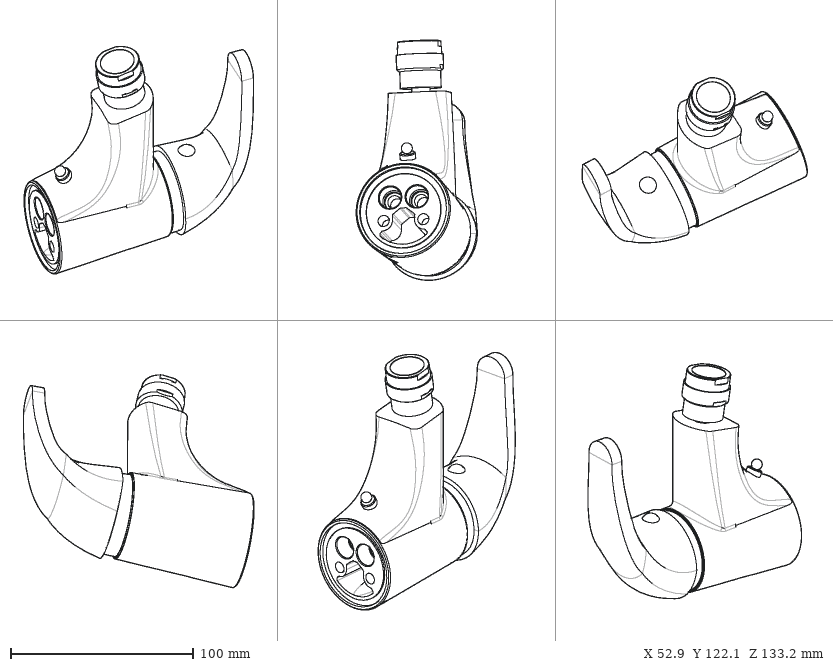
import cadquery as cq
import math


front_radius = 26.45
rear_radius = 24.2
body_length = 67.6
rear_centre_z = front_radius - rear_radius
rim_chamfer = 0.7
seam_turn = 180

ring_outer_radius = 24.3
ring_floor_depth = 2.2
disc_radius = 20.9
disc_depth = 1.2

inlet_x = 7.5
inlet_z = 7.7
inlet_steps = [(6.1, 10.0), (5.2, 12.0), (3.7, 20.0)]
inlet_chamfer = 0.5
screw_x = 11.1
screw_z = -5.3
screw_radius = 3.1
screw_depth = 12.0

pocket_depth = 25.0
pocket_bottom_radius = 18.9
pocket_floor_flat_z = -17.2
pocket_corner_radius = 1.2

groove_width = 0.7
groove_radius = 23.6
collar_radius = 23.0
collar_end_radius = 22.0
collar_end_y = 80.0

neck_foot_z = 13.0
neck_foot_y = 1.2
neck_foot_rise = 0.15
neck_tilt = 9.8
neck_rear_y = 64.5
neck_front_y = 34.7
neck_rear_top_z = 79.3
neck_curve_top_z = 70.5
neck_curve_radius = 45.0
neck_rear_radius = 20.5
neck_top_half_width = 15.8
neck_side_draft = 3.5
neck_front_crowns = [(12, 55.0), (24, 31.0), (40, 23.0), (60, 23.5)]
saddle_half_width = 20.0
saddle_height = 15.0
saddle_clearance = 2.0
neck_split_y = 42.0
neck_front_stock = 5.0
neck_front_fillet = 4.5
neck_rear_fillet = 5.0
neck_base_fillet = 3.0

stem_radius = 5.1
stem_height = 2.8
sleeve_radius = 11.3
sleeve_height = 9.2
connector_chamfer = 1.2
ring_radius = 13.0
ring_height = 8.0
cap_radius = 12.2
cap_height = 7.3
cap_edge_chamfer = 0.4
seal_radius = 9.4
seal_recess = 0.3
flat_width = 9.8
flat_height = 3.2

stud_y = 13.5
stud_z = 32.4
stud_tilt = 30.0
stud_base_radius = 4.3
stud_base_height = 3.0
stud_ball_radius = 3.0
stud_ball_height = 5.5

lever_tip_radius = 10.0
lever_tip_z = 75.7
lever_tip_inner_y = 114.7
lever_tip_thickness = 7.0
lever_front_y = 74.6
lever_front_lean = 4.3
button_y = 86.0
button_radius = 4.6
button_height = 2.6
lever_top_z = 27.8

cap_sections = [
    ((lever_front_y, lever_top_z), (lever_front_y, -23.2), (0.50, 26.0), (0.84, 19.0), 1.6),
    ((89.7, lever_top_z), (95.4, -13.9), (0.49, 22.9), (0.80, 18.5), 1.2),
    ((104.6, lever_top_z), (106.8, -0.9), (0.20, 19.4), (0.72, 17.5), 0.6),
]
blade_sections = [
    cap_sections[-1],
    ((107.4, 38.3), (117.1, 25.2), (0.30, 16.2), (0.90, 16.0), 0.0),
    ((110.6, 49.6), (120.6, 44.3), (0.21, 13.3), (0.92, 13.3), 0.0),
    ((113.6, 66.1), (122.05, 63.5), (0.10, 10.6), (0.93, 10.6), 0.0),
    (
        (lever_tip_inner_y, lever_tip_z),
        (lever_tip_inner_y + lever_tip_thickness, lever_tip_z),
        (0.0, lever_tip_radius),
        (1.0, lever_tip_radius),
        0.0,
    ),
]


def disc_wire(radius, y, z):
    """Circle about the Y direction, with its seam turned to the side."""
    circle = cq.Wire.makeCircle(radius, cq.Vector(0, y, z), cq.Vector(0, 1, 0))
    return circle.rotate(cq.Vector(0, 0, z), cq.Vector(0, 1, z), seam_turn)


def cylinder_y(radius, y_start, y_end, x=0.0, z=0.0):
    return cq.Workplane(
        cq.Solid.makeCylinder(radius, y_end - y_start, cq.Vector(x, y_start, z), cq.Vector(0, 1, 0))
    )


def make_body():
    front = disc_wire(front_radius, 0, 0)
    rear = disc_wire(rear_radius, body_length, rear_centre_z)
    body = cq.Workplane(cq.Solid.makeLoft([front, rear], True))
    return body.faces("<Y").edges().chamfer(rim_chamfer)


def make_collar():
    """Groove and slightly crowned collar, turned about the rear axis of the body."""
    collar_start_y = body_length + groove_width
    middle_y = (collar_start_y + collar_end_y) / 2
    middle_radius = (collar_radius + collar_end_radius) / 2 + 0.2
    return (
        cq.Workplane("XY")
        .moveTo(0, body_length - 1)
        .lineTo(groove_radius, body_length - 1)
        .lineTo(groove_radius, collar_start_y)
        .lineTo(collar_radius, collar_start_y)
        .threePointArc((middle_radius, middle_y), (collar_end_radius, collar_end_y))
        .lineTo(0, collar_end_y)
        .close()
        .revolve(360, (0, 0, 0), (0, 1, 0))
        .translate((0, 0, rear_centre_z))
    )


def make_neck_front():
    """Saddle that hollows the neck front: flat at the top, round as the body at the foot."""
    arc_centre_y = neck_front_y - neck_curve_radius
    wires = [
        saddle_wire(cq.Vector(0, neck_front_y, z), cq.Vector(0, 1, 0))
        for z in (neck_rear_top_z + saddle_clearance, neck_curve_top_z)
    ]
    for angle, crown_radius in neck_front_crowns:
        out_y = math.cos(math.radians(angle))
        out_z = -math.sin(math.radians(angle))
        crest = cq.Vector(
            0, arc_centre_y + neck_curve_radius * out_y, neck_curve_top_z + neck_curve_radius * out_z
        )
        wires.append(saddle_wire(crest, cq.Vector(0, out_y, out_z), crown_radius))
    foot_crest = cq.Vector(0, neck_foot_y, front_radius + neck_foot_rise)
    wires.append(saddle_wire(foot_crest, cq.Vector(0, 0, -1), front_radius))
    return cq.Workplane(cq.Solid.makeLoft(wires))


def saddle_wire(crest, outward, crown_radius=None):
    """Closed section with one side crowned or flat through the crest, closed away from the neck."""
    half_width = cq.Vector(saddle_half_width, 0, 0)
    sagitta = 0
    if crown_radius:
        sagitta = crown_radius - math.sqrt(crown_radius**2 - saddle_half_width**2)
    left = crest - half_width + outward * sagitta
    right = crest + half_width + outward * sagitta
    far_left = crest - half_width - outward * saddle_height
    far_right = crest + half_width - outward * saddle_height
    return cq.Wire.assembleEdges(
        [
            cq.Edge.makeThreePointArc(left, crest, right) if crown_radius else cq.Edge.makeLine(left, right),
            cq.Edge.makeLine(right, far_right),
            cq.Edge.makeLine(far_right, far_left),
            cq.Edge.makeLine(far_left, left),
        ]
    )


def make_neck_halves():
    """Neck block: side profile, drafted front outline and rounded rear, intersected.

    The front half is hollowed by the saddle; both halves get their corners rounded.
    """
    stock_front_y = neck_front_y - neck_front_stock
    front_top_z = neck_rear_top_z - (neck_rear_y - stock_front_y) * math.tan(math.radians(neck_tilt))
    profile = (
        cq.Workplane("YZ")
        .polyline(
            [
                (neck_foot_y, neck_foot_z),
                (neck_foot_y, front_radius),
                (stock_front_y, neck_curve_top_z),
                (stock_front_y, front_top_z),
                (neck_rear_y, neck_rear_top_z),
                (neck_rear_y, neck_foot_z),
            ]
        )
        .close()
        .extrude(front_radius, both=True)
    )
    foot_half_width = neck_top_half_width + neck_rear_top_z * math.tan(math.radians(neck_side_draft))
    outline = (
        cq.Workplane("XZ")
        .polyline(
            [
                (-foot_half_width, 0),
                (foot_half_width, 0),
                (neck_top_half_width, neck_rear_top_z),
                (-neck_top_half_width, neck_rear_top_z),
            ]
        )
        .close()
        .extrude(-body_length)
    )
    rear_centre_y = neck_rear_y - neck_rear_radius
    plan = (
        cq.Workplane("XY")
        .moveTo(-neck_rear_radius, 0)
        .lineTo(neck_rear_radius, 0)
        .lineTo(neck_rear_radius, rear_centre_y)
        .threePointArc((0, neck_rear_y), (-neck_rear_radius, rear_centre_y))
        .close()
        .extrude(neck_rear_top_z)
    )
    neck = profile.intersect(outline).intersect(plan)
    front_space = (
        cq.Workplane("XY").box(body_length, neck_split_y, neck_rear_top_z, centered=(True, False, False))
    )
    rear_half = neck.cut(front_space)
    rear_half = rear_half.edges(corner_selector(rear_centre_y, neck_rear_y)).fillet(neck_rear_fillet)
    front_half = neck.cut(make_neck_front()).intersect(front_space)
    front_half = front_half.edges(corner_selector(neck_foot_y, neck_front_y)).fillet(neck_front_fillet)
    return front_half, rear_half


def corner_selector(y_start, y_end):
    """Selects the tall corner edges of the neck whose centres lie between two Y positions."""
    return cq.selectors.BoxSelector(
        (-front_radius, y_start + 1, front_radius), (front_radius, y_end - 1, neck_curve_top_z)
    )


def make_connector():
    """Stepped hose connector with side flats, standing on the tilted neck top."""
    sleeve_top = stem_height + sleeve_height
    ring_bottom = sleeve_top + connector_chamfer
    ring_top = ring_bottom + ring_height
    cap_top = ring_top + cap_height
    profile = [
        (0, -2),
        (stem_radius, -2),
        (stem_radius, stem_height),
        (sleeve_radius, stem_height),
        (sleeve_radius, sleeve_top),
        (ring_radius, ring_bottom),
        (ring_radius, ring_top),
        (cap_radius, ring_top),
        (cap_radius, cap_top - cap_edge_chamfer),
        (cap_radius - cap_edge_chamfer, cap_top),
        (seal_radius, cap_top),
        (seal_radius, cap_top - seal_recess),
        (0, cap_top - seal_recess),
    ]
    connector = cq.Workplane("XZ").polyline(profile).close().revolve(360, (0, 0, 0), (0, 1, 0))
    for side in (-1, 1):
        for flat_x, bottom in ((cap_radius, sleeve_top), (sleeve_radius, cap_top - flat_height)):
            cutter = (
                cq.Workplane("XY")
                .box(5, flat_width, flat_height, centered=(True, True, False))
                .translate((side * (flat_x + 2.5), 0, bottom))
            )
            connector = connector.cut(cutter)
    centre_y = (neck_rear_y + neck_front_y) / 2
    centre_z = neck_rear_top_z - (neck_rear_y - centre_y) * math.tan(math.radians(neck_tilt))
    return connector.rotate((0, 0, 0), (1, 0, 0), neck_tilt).translate((0, centre_y, centre_z))


def make_stud():
    base = cq.Workplane("XY").workplane(offset=-2).circle(stud_base_radius).extrude(stud_base_height + 2)
    base = base.faces(">Z").edges().chamfer(0.5)
    ball = cq.Workplane("XY").sphere(stud_ball_radius).translate((0, 0, stud_ball_height))
    stud = base.union(ball)
    return stud.rotate((0, 0, 0), (1, 0, 0), stud_tilt).translate((0, stud_y, stud_z))


def lever_wire(inner, outer, inner_edge, outer_edge, side_bulge):
    """Closed section: crowned inner face, two sides and crowned outer face."""

    def point(fraction, x):
        y = inner[0] + fraction * (outer[0] - inner[0])
        z = inner[1] + fraction * (outer[1] - inner[1])
        return cq.Vector(x, y, z)

    def edge(start, middle, end):
        if (middle - (start + end) * 0.5).Length < 1e-6:
            return cq.Edge.makeLine(start, end)
        return cq.Edge.makeThreePointArc(start, middle, end)

    inner_left = point(inner_edge[0], -inner_edge[1])
    inner_right = point(*inner_edge)
    outer_left = point(outer_edge[0], -outer_edge[1])
    outer_right = point(*outer_edge)
    bulge = cq.Vector(side_bulge, 0, 0)
    right_middle = (inner_right + outer_right) * 0.5 + bulge
    left_middle = (inner_left + outer_left) * 0.5 - bulge
    return cq.Wire.assembleEdges(
        [
            edge(inner_left, point(0, 0), inner_right),
            edge(inner_right, right_middle, outer_right),
            edge(outer_right, point(1, 0), outer_left),
            edge(outer_left, left_middle, inner_left),
        ]
    )


def make_lever():
    cap = cq.Workplane(cq.Solid.makeLoft([lever_wire(*section) for section in cap_sections]))
    blade = cq.Workplane(cq.Solid.makeLoft([lever_wire(*section) for section in blade_sections]))
    tip_outer_y = lever_tip_inner_y + lever_tip_thickness
    tip = cylinder_y(lever_tip_radius, lever_tip_inner_y, tip_outer_y, z=lever_tip_z)
    upper_half = cq.Workplane("XY").box(60, 400, 60, centered=(True, True, False))
    tip = tip.intersect(upper_half.translate((0, 0, lever_tip_z)))
    sphere_radius = (button_radius**2 + button_height**2) / (2 * button_height)
    button = cq.Workplane("XY").sphere(sphere_radius)
    button = button.translate((0, button_y, lever_top_z + button_height - sphere_radius))
    lean_depth = 2 * rear_radius
    relief = (
        cq.Workplane("YZ")
        .moveTo(lever_front_y, rear_centre_z)
        .lineTo(lever_front_y, rear_centre_z - lean_depth)
        .lineTo(
            lever_front_y + lean_depth * math.tan(math.radians(lever_front_lean)), rear_centre_z - lean_depth
        )
        .close()
        .extrude(lean_depth, both=True)
    )
    cap = cap.cut(relief)
    return cap.union(blade).union(tip).union(button)


def cut_front_face(part):
    recess = cylinder_y(ring_outer_radius, 0, ring_floor_depth)
    disc = cylinder_y(disc_radius, disc_depth, ring_floor_depth)
    part = part.cut(recess.cut(disc))
    for side in (-1, 1):
        for radius, depth in inlet_steps:
            part = part.cut(cylinder_y(radius, disc_depth, disc_depth + depth, side * inlet_x, inlet_z))
        mouth_radius = inlet_steps[0][0]
        mouth = cq.Solid.makeCone(
            mouth_radius + inlet_chamfer,
            mouth_radius,
            inlet_chamfer,
            cq.Vector(side * inlet_x, disc_depth, inlet_z),
            cq.Vector(0, 1, 0),
        )
        part = part.cut(cq.Workplane(mouth))
        part = part.cut(cylinder_y(screw_radius, disc_depth, disc_depth + screw_depth, side * screw_x, screw_z))
    return part.cut(make_pocket())


def make_pocket():
    """Pocket with a narrow arched head, flared foot and round bottom that rises to a flat."""
    foot_x = 13.6
    foot_z = -math.sqrt(pocket_bottom_radius**2 - foot_x**2)
    pocket = (
        cq.Workplane("XZ", origin=(0, disc_depth, 0))
        .moveTo(-foot_x, foot_z)
        .threePointArc((0, -pocket_bottom_radius), (foot_x, foot_z))
        .lineTo(12.0, -10.9)
        .threePointArc((7.6, -9.0), (6.2, -5.2))
        .lineTo(6.2, -2.0)
        .lineTo(1.6, 1.6)
        .lineTo(-1.6, 1.6)
        .lineTo(-6.2, -2.0)
        .lineTo(-6.2, -5.2)
        .threePointArc((-7.6, -9.0), (-12.0, -10.9))
        .close()
        .extrude(-pocket_depth)
    )
    pocket = pocket.edges("|Y").fillet(pocket_corner_radius)
    wedge = (
        cq.Workplane("YZ")
        .moveTo(disc_depth, -pocket_bottom_radius)
        .lineTo(disc_depth + pocket_depth, pocket_floor_flat_z)
        .lineTo(disc_depth + pocket_depth, -pocket_bottom_radius)
        .close()
        .extrude(front_radius, both=True)
    )
    return pocket.cut(wedge)


def blend_neck_foot(body):
    """Rounds the joint between the rear of the neck and the main body."""
    joint = cq.selectors.BoxSelector(
        (-front_radius, neck_rear_y - neck_rear_radius, neck_foot_z),
        (front_radius, body_length - 1, front_radius + 1),
        boundingbox=True,
    )
    return body.edges(joint).fillet(neck_base_fillet)


def make_body_with_neck():
    front_half, rear_half = make_neck_halves()
    return blend_neck_foot(make_body().union(rear_half)).union(front_half)


body = make_body_with_neck()
part = body.union(make_collar()).union(make_lever()).union(make_connector()).union(make_stud())
result = cut_front_face(part)